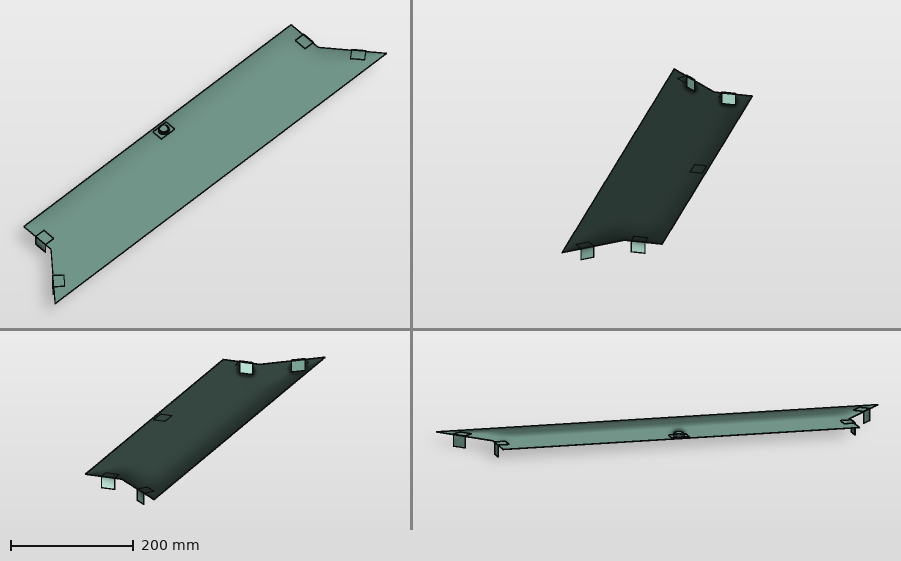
import cadquery as cq
import math

panel_width = 150.0
panel_length = 747.0
panel_thickness = 1.0
front_length = 602.0
shoulder_width = 64.0

clip_thickness = 1.0
clip_width = 23.0
flange_depth = 18.0
leg_drop = 19.8
front_clip_x = 40.0
ear_clip_x = 115.0

latch_x = 15.0
pad_width = 20.0
pad_length = 30.0
pad_thickness = 1.0
knob_flange_diameter = 18.0
knob_flange_thickness = 3.0
knob_diameter = 14.0
knob_height = 5.4

half_length = panel_length / 2
half_front = front_length / 2
ear_run = panel_width - shoulder_width
ear_rise = half_length - half_front
ear_angle = math.degrees(math.atan2(ear_rise, ear_run))
ear_clip_y = half_front + (ear_clip_x - shoulder_width) * ear_rise / ear_run


def make_panel():
    """Sheet whose upper face lies at Z = 0."""
    return (
        cq.Workplane("XY")
        .polyline([
            (0, -half_front),
            (shoulder_width, -half_front),
            (panel_width, -half_length),
            (panel_width, half_length),
            (shoulder_width, half_front),
            (0, half_front),
        ])
        .close()
        .extrude(-panel_thickness)
    )


def make_clip(x, y, angle, side):
    """Clip on the edge through (x, y) at this angle to X; side is +1 or -1 for the panel end in Y."""
    profile = [
        (-flange_depth, 0),
        (0, 0),
        (0, -leg_drop),
        (clip_thickness, -leg_drop),
        (clip_thickness, clip_thickness),
        (-flange_depth, clip_thickness),
    ]
    clip = (
        cq.Workplane("YZ")
        .polyline(profile)
        .close()
        .extrude(clip_width / 2, both=True)
        .rotate((0, 0, 0), (0, 0, 1), angle)
        .translate((x, y, 0))
    )
    return clip if side > 0 else clip.mirror("XZ")


def make_pad():
    return (
        cq.Workplane("XY")
        .center(latch_x, 0)
        .rect(pad_width, pad_length)
        .extrude(pad_thickness)
    )


def make_knob():
    """Disc standing on the pad, with a flange around its foot."""
    return (
        cq.Workplane("XY", origin=(latch_x, 0, pad_thickness))
        .circle(knob_flange_diameter / 2)
        .extrude(knob_flange_thickness)
        .faces(">Z")
        .workplane()
        .circle(knob_diameter / 2)
        .extrude(knob_height - knob_flange_thickness)
    )


panel = make_panel()
pad = make_pad()
knob = make_knob()
clips = []
for end in (1, -1):
    clips.append(make_clip(front_clip_x, half_front, 0, end))
    clips.append(make_clip(ear_clip_x, ear_clip_y, ear_angle, end))

result = cq.Compound.makeCompound([
    panel.val(),
    pad.val(),
    knob.val(),
    *[clip.val() for clip in clips],
])